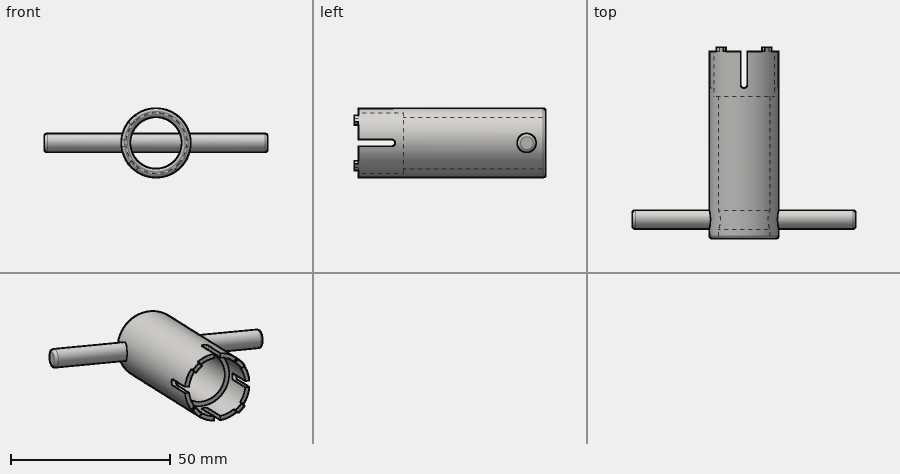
import cadquery as cq

tube_diameter = 21.8
bore_diameter = 16.0
tube_length = 58.65
rim_radius = 1.0

socket_diameter = 19.0
socket_depth = 14

slot_width = 2.0
slot_depth = 11.5

lug_count = 4
lug_width = 3.0
lug_height = 1.3

handle_length = 70
handle_diameter = 5.95
handle_edge_radius = 1.0
handle_offset = 6.0


def cylinder_along_y(diameter, start, length):
    """Solid cylinder on the Y axis, from y = start towards +Y."""
    return cq.Workplane("XZ", origin=(0, start, 0)).circle(diameter / 2).extrude(-length)


def make_tube():
    """Tube with both edges of its rim rounded at y = 0, and the wider socket bore."""
    tube = cylinder_along_y(tube_diameter, 0, tube_length)
    tube = tube.cut(cylinder_along_y(bore_diameter, 0, tube_length))
    tube = tube.faces("<Y").edges().fillet(rim_radius)
    return tube.cut(cylinder_along_y(socket_diameter, tube_length - socket_depth, socket_depth))


def make_slot():
    """Round-bottomed slot cutter running through both walls along Z."""
    slot_radius = slot_width / 2
    bottom_y = tube_length - slot_depth
    center_y = bottom_y + slot_radius
    return (
        cq.Workplane("XY")
        .moveTo(-slot_radius, tube_length)
        .lineTo(-slot_radius, center_y)
        .threePointArc((0, bottom_y), (slot_radius, center_y))
        .lineTo(slot_radius, tube_length)
        .close()
        .extrude(tube_diameter, both=True)
    )


def make_lugs():
    """Lugs standing on the socket wall, midway between the slots."""
    wall = cylinder_along_y(tube_diameter, tube_length, lug_height)
    wall = wall.cut(cylinder_along_y(socket_diameter, tube_length, lug_height))
    pitch = 360 / lug_count
    bars = cq.Workplane("XY")
    for index in range(lug_count):
        bar = (
            cq.Workplane("XY", origin=(0, tube_length, 0))
            .box(tube_diameter, lug_height, lug_width, centered=(False, False, True))
            .rotate((0, 0, 0), (0, 1, 0), pitch * (index + 0.5))
        )
        bars = bars.add(bar)
    return wall.intersect(bars.combine())


def make_handle():
    """Round bar through the tube, with rounded ends."""
    handle = (
        cq.Workplane("YZ", origin=(0, handle_offset, 0))
        .circle(handle_diameter / 2)
        .extrude(handle_length / 2, both=True)
    )
    return handle.faces("<X or >X").edges().fillet(handle_edge_radius)


slot = make_slot()
crossing_slot = slot.rotate((0, 0, 0), (0, 1, 0), 90)
result = make_tube().cut(slot).cut(crossing_slot).union(make_lugs()).union(make_handle())